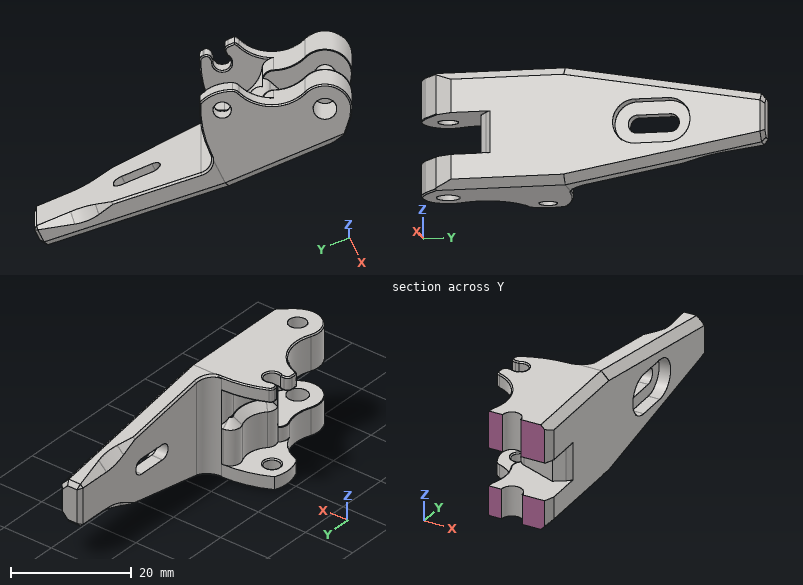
import cadquery as cq
import math


HALF_HEIGHT = 10.0
LENGTH = 59.15
BACK_X = 7.0
BACK_CHAMFER = 1.5
RIM_CHAMFER = 0.25

LUG_RADIUS = 4.5
UPPER_LUG_BOTTOM = 2.85
LOWER_LUG_TOP = -4.25
LUG_CHAMFER = 0.1
UPPER_PIVOT_DIAMETER = 3.35
LOWER_PIVOT_DIAMETER = 3.9
FACET_START_X = 2.3
LUG_FACETS = [(3.3, -3.25), (5.85, -0.95), (BACK_X, 1.8)]

PLATE_INNER_Z = 7.2
PLATE_RADIUS = 20.8
HOLLOW_RADIUS = 7.5
HOLLOW_CENTER_Y = 4.55
LATCH = (-7.0, 15.55)
LATCH_DIAMETER = 3.0
TIP_X = -10.35
TIP_RADIUS = 7.0
TIP_FILLET = 1.5
HOOK_TIP_X = -9.45
HOOK_FILLET = 0.95
MOUTH_WIDTH = 2.5

CORNER_RADIUS = 2.0
NECK_CLEARANCE = 6.7
POST_CLEARANCE = 5.0
POST_TOP = 1.35
POST_CHAMFER = 1.55
NOSE_X = -1.85
WEB_FACE_END = (4.2, 6.3)
WEB_FACETS = [(6.15, 7.55), (BACK_X, 8.35)]

BLADE_X = 2.5
BLADE_TAPER = math.radians(10)
BLADE_FILLET = 3.0
BLADE_CHAMFER = 0.35
BLADE_END_CHAMFER = 0.7
BLADE_ROOT_OVERLAP = 2.95
SCOOP_Z = 3.6
SCOOP_BEND_Y = 45.3
SCOOP_RADIUS = 10.0
SCOOP_ANGLE = math.radians(27)

SLOT_Y = 35.6
SLOT_LENGTH = 8.6
SLOT_WIDTH = 3.0
SLOT_LAND = 2.3
RECESS_MARGIN = 2.25

MARGIN = 0.05


def toward(start, target, distance):
    """Point at a distance from start on the line to target."""
    share = distance / math.dist(start, target)
    return (start[0] + share * (target[0] - start[0]), start[1] + share * (target[1] - start[1]))


def circle_meet(center_a, radius_a, center_b, radius_b):
    """Both points where two circles meet, the one left of the line from a to b first."""
    gap = math.dist(center_a, center_b)
    along = (gap ** 2 + radius_a ** 2 - radius_b ** 2) / (2 * gap)
    aside = math.sqrt(max(radius_a ** 2 - along ** 2, 0))
    foot = toward(center_a, center_b, along)
    dx = aside * (center_b[0] - center_a[0]) / gap
    dy = aside * (center_b[1] - center_a[1]) / gap
    return (foot[0] - dy, foot[1] + dx), (foot[0] + dy, foot[1] - dx)


def arc_to(sketch, center, radius, start, end):
    """Add the shorter arc about center from start to end."""
    chord_middle = ((start[0] + end[0]) / 2, (start[1] + end[1]) / 2)
    return sketch.threePointArc(toward(center, chord_middle, radius), end)


def slab(outline, bottom, top):
    """Raise a closed outline drawn at z = 0 between two heights."""
    return outline.extrude(top - bottom).translate((0, 0, bottom))


def cylinder(center, diameter, bottom, top):
    return slab(cq.Workplane("XY").center(*center).circle(diameter / 2), bottom, top)


pivot = (0.0, 0.0)
blade_end_y = LENGTH - LUG_RADIUS
hollow_center = (
    -math.sqrt((LUG_RADIUS + HOLLOW_RADIUS) ** 2 - HOLLOW_CENTER_Y ** 2),
    HOLLOW_CENTER_Y,
)
hollow_start = toward(pivot, hollow_center, LUG_RADIUS)
tip_center = (TIP_X + TIP_RADIUS, LATCH[1])
nose_center = (
    NOSE_X,
    LATCH[1] - math.sqrt((POST_CLEARANCE + CORNER_RADIUS) ** 2 - (NOSE_X - LATCH[0]) ** 2),
)
blade_fillet_x = BLADE_X - BLADE_FILLET
blade_fillet_center = (
    blade_fillet_x,
    math.sqrt((PLATE_RADIUS + BLADE_FILLET) ** 2 - blade_fillet_x ** 2),
)
blade_foot = toward(pivot, blade_fillet_center, PLATE_RADIUS)


def lug_side(first_point):
    """Open outline from first_point to the back, along the facets and round the lug to the hollow."""
    facet_start = (FACET_START_X, -math.sqrt(LUG_RADIUS ** 2 - FACET_START_X ** 2))
    lug_bottom = (0, -LUG_RADIUS)
    sketch = cq.Workplane("XY").moveTo(*first_point).lineTo(BACK_X, first_point[1])
    for point in [*reversed(LUG_FACETS), facet_start]:
        sketch = sketch.lineTo(*point)
    sketch = arc_to(sketch, pivot, LUG_RADIUS, facet_start, lug_bottom)
    return arc_to(sketch, pivot, LUG_RADIUS, lug_bottom, hollow_start)


def break_rim(body, face, size):
    """Chamfer the rim of one end face, except along the back and along the side toward the blade."""
    side_y = body.faces(">Y").val().Center().y
    rim = [
        edge
        for edge in body.faces(face).edges().vals()
        if edge.Center().x < BACK_X - BACK_CHAMFER - MARGIN and edge.Center().y < side_y - MARGIN
    ]
    return body.newObject(rim).chamfer(size)


def plate(bottom, top, outer_face):
    """Plate with a rounded latch tip, chamfered along the back of its outer face."""
    hollow_end = circle_meet(hollow_center, HOLLOW_RADIUS, tip_center, TIP_RADIUS)[0]
    tip_top = circle_meet(pivot, PLATE_RADIUS, tip_center, TIP_RADIUS)[0]
    sketch = lug_side(blade_foot)
    sketch = arc_to(sketch, hollow_center, HOLLOW_RADIUS, hollow_start, hollow_end)
    sketch = arc_to(sketch, tip_center, TIP_RADIUS, hollow_end, tip_top)
    sketch = arc_to(sketch, pivot, PLATE_RADIUS, tip_top, blade_foot)
    body = slab(sketch.close(), bottom, top)
    tip_corner = cq.selectors.NearestToPointSelector((*hollow_end, (bottom + top) / 2))
    body = body.edges("|Z").edges(tip_corner).fillet(TIP_FILLET)
    return body.faces(outer_face).edges("|Y").edges(">X").chamfer(BACK_CHAMFER)


def upper_plate():
    """Plate whose latch hole is open at the tip, which leaves two hooks."""
    body = plate(PLATE_INNER_Z, HALF_HEIGHT, ">Z")
    mouth = cq.Workplane("XY").center((TIP_X + LATCH[0]) / 2, LATCH[1])
    mouth = mouth.rect(LATCH[0] - TIP_X, MOUTH_WIDTH).extrude(HALF_HEIGHT)
    beyond_hooks = cq.Workplane("XY").center(HOOK_TIP_X - LENGTH / 2, 0)
    beyond_hooks = beyond_hooks.rect(LENGTH, LENGTH).extrude(HALF_HEIGHT)
    body = body.cut(mouth).cut(cylinder(LATCH, LATCH_DIAMETER, 0, HALF_HEIGHT)).cut(beyond_hooks)
    body = body.edges("|Z").edges("<X").fillet(HOOK_FILLET)
    for face in (">Z", "<Z"):
        body = break_rim(body, face, RIM_CHAMFER)
    return body


def lower_plate():
    """Plate with a closed latch hole, chamfered at its inner end."""
    body = plate(-HALF_HEIGHT, -PLATE_INNER_Z, "<Z")
    body = break_rim(body, "<Z", RIM_CHAMFER)
    body = body.cut(cylinder(LATCH, LATCH_DIAMETER, -HALF_HEIGHT, 0))
    hole_rim = cq.selectors.NearestToPointSelector((*LATCH, -PLATE_INNER_Z))
    return body.faces(">Z").edges("%CIRCLE").edges(hole_rim).chamfer(RIM_CHAMFER)


def lug(bottom, top, inner_face):
    """Thick part of a lug, with a rounded corner where the clearance around the latch begins."""
    corner = circle_meet(
        hollow_center, HOLLOW_RADIUS + CORNER_RADIUS, LATCH, NECK_CLEARANCE + CORNER_RADIUS
    )[1]
    corner_start = toward(corner, hollow_center, CORNER_RADIUS)
    corner_end = toward(corner, LATCH, CORNER_RADIUS)
    sketch = lug_side(corner_end)
    sketch = arc_to(sketch, hollow_center, HOLLOW_RADIUS, hollow_start, corner_start)
    sketch = arc_to(sketch, corner, CORNER_RADIUS, corner_start, corner_end)
    return break_rim(slab(sketch.close(), bottom, top), inner_face, LUG_CHAMFER)


def neck(clearance, bottom, top):
    """Column between the plates, hollowed around the latch pin by the given radius."""
    corner = circle_meet(pivot, PLATE_RADIUS - CORNER_RADIUS, LATCH, clearance + CORNER_RADIUS)[1]
    corner_start = toward(pivot, corner, PLATE_RADIUS)
    corner_end = toward(corner, LATCH, CORNER_RADIUS)
    nose_start = circle_meet(nose_center, CORNER_RADIUS, LATCH, clearance)[0]
    half_gap = math.dist(nose_center, WEB_FACE_END) / 2
    halfway = toward(nose_center, WEB_FACE_END, half_gap)
    nose_end = circle_meet(nose_center, CORNER_RADIUS, halfway, half_gap)[1]

    sketch = cq.Workplane("XY").moveTo(*corner_start)
    sketch = arc_to(sketch, corner, CORNER_RADIUS, corner_start, corner_end)
    sketch = arc_to(sketch, LATCH, clearance, corner_end, nose_start)
    sketch = arc_to(sketch, nose_center, CORNER_RADIUS, nose_start, nose_end)
    for point in [WEB_FACE_END, *WEB_FACETS, (BACK_X, corner_start[1])]:
        sketch = sketch.lineTo(*point)
    return slab(sketch.close(), bottom, top)


def post():
    """Lower, wider part of the neck with a chamfer around its top."""
    body = neck(POST_CLEARANCE, -PLATE_INNER_Z, POST_TOP)
    return body.faces(">Z").edges("%CIRCLE").chamfer(POST_CHAMFER)


def blade_blank():
    """Tapered blade with the fillet at its foot, chamfered along the back."""
    root_y = blade_foot[1] - BLADE_ROOT_OVERLAP
    fillet_top = (BLADE_X, blade_fillet_center[1])
    sketch = cq.Workplane("XY").moveTo(BACK_X, blade_end_y).lineTo(BLADE_X, blade_end_y).lineTo(*fillet_top)
    sketch = arc_to(sketch, blade_fillet_center, BLADE_FILLET, fillet_top, blade_foot)
    sketch = sketch.lineTo(BLADE_X, root_y).lineTo(BACK_X, root_y)

    end_half = HALF_HEIGHT - (blade_end_y - blade_foot[1]) * math.tan(BLADE_TAPER)
    upper_half = [(root_y, HALF_HEIGHT), (blade_foot[1], HALF_HEIGHT), (blade_end_y, end_half)]
    lower_half = [(y, -z) for y, z in reversed(upper_half)]
    tapered = cq.Workplane("YZ").polyline(upper_half + lower_half).close().extrude(LENGTH, both=True)

    body = slab(sketch.close(), -HALF_HEIGHT, HALF_HEIGHT).intersect(tapered)
    return body.faces(">X").edges("not |Z").chamfer(BACK_CHAMFER)


def scoop():
    """Cutter that slopes at 45 degrees along the upper front edge of the blade tip."""
    tangent_length = SCOOP_RADIUS * math.tan(SCOOP_ANGLE / 2)
    center_y = SCOOP_BEND_Y + tangent_length
    center_z = SCOOP_Z + SCOOP_RADIUS

    def bend_point(angle):
        return (center_y - SCOOP_RADIUS * math.sin(angle), center_z - SCOOP_RADIUS * math.cos(angle))

    bend_end = bend_point(SCOOP_ANGLE)
    rise_end_y = bend_end[0] - (HALF_HEIGHT - bend_end[1]) / math.tan(SCOOP_ANGLE)
    outline = (
        cq.Workplane("YZ", origin=(BLADE_X, 0, 0))
        .moveTo(LENGTH, SCOOP_Z)
        .lineTo(*bend_point(0))
        .threePointArc(bend_point(SCOOP_ANGLE / 2), bend_end)
        .lineTo(rise_end_y, HALF_HEIGHT)
        .lineTo(LENGTH, HALF_HEIGHT)
        .close()
    )
    slope = cq.Vector(BACK_X - BLADE_X, 0, BACK_X - BLADE_X)
    return cq.Workplane(cq.Solid.extrudeLinear(outline.val(), [], slope))


def blade_slot():
    """Cutter for the slot and the recess around it at the back."""
    through = cq.Workplane("YZ").center(SLOT_Y, 0).slot2D(SLOT_LENGTH, SLOT_WIDTH).extrude(BACK_X)
    recess = cq.Workplane("YZ", origin=(BLADE_X + SLOT_LAND, 0, 0)).center(SLOT_Y, 0)
    recess = recess.slot2D(SLOT_LENGTH + 2 * RECESS_MARGIN, SLOT_WIDTH + 2 * RECESS_MARGIN)
    return through.union(recess.extrude(BACK_X))


def blade():
    """Blade with chamfered front edges, scooped tip, chamfered end and slot."""
    body = blade_blank()
    front_edges = [
        edge
        for edge in body.edges("not |Z").vals()
        if edge.Center().x < BLADE_X + MARGIN
        and blade_foot[1] + MARGIN < edge.Center().y < blade_end_y - MARGIN
    ]
    body = body.newObject(front_edges).chamfer(BLADE_CHAMFER)
    upper_scoop = scoop()
    body = body.cut(upper_scoop).cut(upper_scoop.mirror("XY"))
    body = body.faces(">Y").edges().chamfer(BLADE_END_CHAMFER)
    return body.cut(blade_slot())


joint_z = PLATE_INNER_Z + RIM_CHAMFER

result = (
    upper_plate()
    .union(lower_plate())
    .union(lug(UPPER_LUG_BOTTOM, joint_z, "<Z"))
    .union(lug(-PLATE_INNER_Z, LOWER_LUG_TOP, ">Z"))
    .union(neck(NECK_CLEARANCE, -PLATE_INNER_Z, joint_z))
    .union(post())
    .union(blade())
    .cut(cylinder(pivot, UPPER_PIVOT_DIAMETER, 0, HALF_HEIGHT))
    .cut(cylinder(pivot, LOWER_PIVOT_DIAMETER, -HALF_HEIGHT, 0))
)